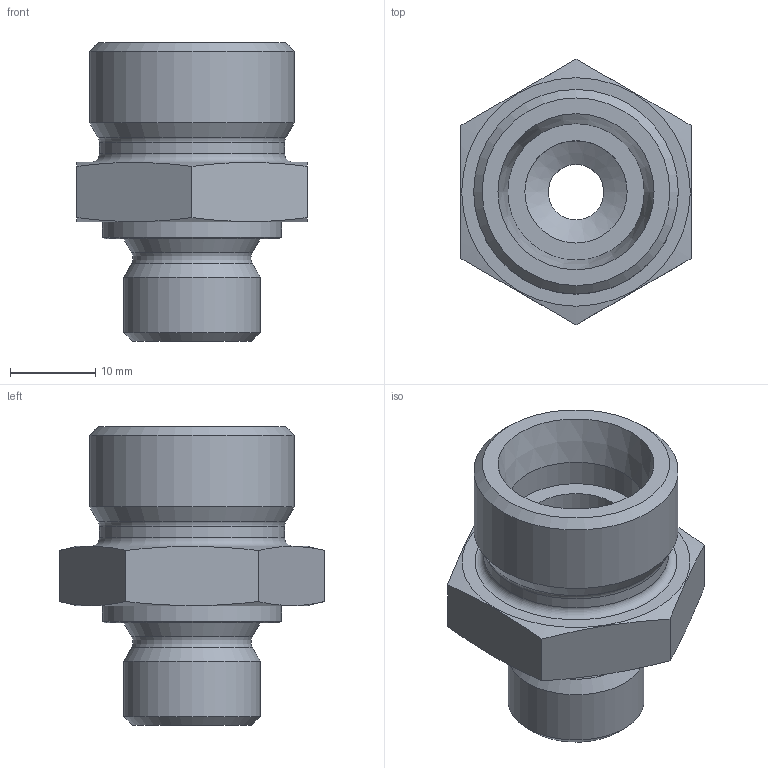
import cadquery as cq
import math

TOTAL_HEIGHT = 35.0
HEX_BOTTOM_Z = 14.0
HEX_TOP_Z = 21.0
COLLAR_BOTTOM_Z = 12.0

HEX_SIDES = 6
HEX_HALF_SIDE_ANGLE = 180.0 / HEX_SIDES
HEX_ACROSS_FLATS = 27.0
HEX_FACE_DIAMETER = 26.8
HEX_CHAMFER_ANGLE = 13.0

TUBE_THREAD_RADIUS = 24.0 / 2
TUBE_NECK_RADIUS = 21.7 / 2
TUBE_THREAD_BOTTOM_Z = 25.6
TUBE_NECK_ROUND = 1.2
HEX_FILLET = 1.0

COLLAR_RADIUS = 21.0 / 2
COLLAR_EDGE_CHAMFER = 0.2
STUD_RADIUS = 16.0 / 2
STUD_THREAD_TOP_Z = 7.5
STUD_GROOVE_ROUND = 1.3

THREAD_CHAMFER = 1.0
GROOVE_CONE_ANGLE = 30.0

MOUTH_RADIUS = 18.3 / 2
SOCKET_RADIUS = 16.0 / 2
SOCKET_CONE_ANGLE = 12.0
SOCKET_DEPTH = 8.5
BORE_RADIUS = 12.0 / 2
BORE_BOTTOM_Z = 12.0
DRILL_TIP_HALF_ANGLE = 59.0
PASSAGE_RADIUS = 6.5 / 2

FLANK_SLOPE = math.tan(math.radians(GROOVE_CONE_ANGLE))


def revolve_about_z(profile):
    """Full revolution about the Z axis of a closed profile drawn in the XZ plane."""
    return profile.revolve(360, (0, 0, 0), (0, 1, 0))


def round_rise(radius):
    """Radial depth of an arc that turns from a groove flank to the axial direction."""
    return radius * (1 - math.cos(math.radians(GROOVE_CONE_ANGLE)))


def round_length(radius):
    """Axial length of an arc that turns from a groove flank to the axial direction."""
    return radius * math.sin(math.radians(GROOVE_CONE_ANGLE))


def make_stud():
    """Lower thread, its relief groove and the collar below the hexagon."""
    groove_center_z = (COLLAR_BOTTOM_Z + STUD_THREAD_TOP_Z) / 2
    half_arc = round_length(STUD_GROOVE_ROUND)
    flank_length = (COLLAR_BOTTOM_Z - STUD_THREAD_TOP_Z) / 2 - half_arc
    flank_end_radius = STUD_RADIUS - flank_length * FLANK_SLOPE
    groove_radius = flank_end_radius - round_rise(STUD_GROOVE_ROUND)
    profile = (
        cq.Workplane("XZ")
        .moveTo(0, 0)
        .lineTo(STUD_RADIUS - THREAD_CHAMFER, 0)
        .lineTo(STUD_RADIUS, THREAD_CHAMFER)
        .lineTo(STUD_RADIUS, STUD_THREAD_TOP_Z)
        .lineTo(flank_end_radius, groove_center_z - half_arc)
        .threePointArc(
            (groove_radius, groove_center_z),
            (flank_end_radius, groove_center_z + half_arc),
        )
        .lineTo(STUD_RADIUS, COLLAR_BOTTOM_Z)
        .lineTo(COLLAR_RADIUS - COLLAR_EDGE_CHAMFER, COLLAR_BOTTOM_Z)
        .lineTo(COLLAR_RADIUS, COLLAR_BOTTOM_Z + COLLAR_EDGE_CHAMFER)
        .lineTo(COLLAR_RADIUS, HEX_BOTTOM_Z)
        .lineTo(0, HEX_BOTTOM_Z)
        .close()
    )
    return revolve_about_z(profile)


def make_hexagon():
    """Hexagon with two flats square to X and conical chamfers on both faces."""
    corner_radius = HEX_ACROSS_FLATS / 2 / math.cos(math.radians(HEX_HALF_SIDE_ANGLE))
    face_radius = HEX_FACE_DIAMETER / 2
    corner_drop = (corner_radius - face_radius) * math.tan(math.radians(HEX_CHAMFER_ANGLE))
    prism = (
        cq.Workplane("XY")
        .workplane(offset=HEX_BOTTOM_Z)
        .polygon(HEX_SIDES, 2 * corner_radius)
        .extrude(HEX_TOP_Z - HEX_BOTTOM_Z)
        .rotate((0, 0, 0), (0, 0, 1), HEX_HALF_SIDE_ANGLE)
    )
    chamfer_profile = (
        cq.Workplane("XZ")
        .moveTo(0, HEX_BOTTOM_Z)
        .lineTo(face_radius, HEX_BOTTOM_Z)
        .lineTo(corner_radius, HEX_BOTTOM_Z + corner_drop)
        .lineTo(corner_radius, HEX_TOP_Z - corner_drop)
        .lineTo(face_radius, HEX_TOP_Z)
        .lineTo(0, HEX_TOP_Z)
        .close()
    )
    return prism.intersect(revolve_about_z(chamfer_profile))


def make_tube_end():
    """Upper thread with its relief neck, blended into the hexagon by a fillet."""
    flank_end_radius = TUBE_NECK_RADIUS + round_rise(TUBE_NECK_ROUND)
    flank_length = (TUBE_THREAD_RADIUS - flank_end_radius) / FLANK_SLOPE
    flank_end_z = TUBE_THREAD_BOTTOM_Z - flank_length
    fillet_mid_offset = HEX_FILLET * (1 - math.cos(math.radians(45)))
    neck_top_z = flank_end_z - round_length(TUBE_NECK_ROUND)
    profile = (
        cq.Workplane("XZ")
        .moveTo(0, HEX_TOP_Z)
        .lineTo(TUBE_NECK_RADIUS + HEX_FILLET, HEX_TOP_Z)
        .threePointArc(
            (TUBE_NECK_RADIUS + fillet_mid_offset, HEX_TOP_Z + fillet_mid_offset),
            (TUBE_NECK_RADIUS, HEX_TOP_Z + HEX_FILLET),
        )
        .lineTo(TUBE_NECK_RADIUS, neck_top_z)
        .tangentArcPoint((flank_end_radius, flank_end_z), relative=False)
        .lineTo(TUBE_THREAD_RADIUS, TUBE_THREAD_BOTTOM_Z)
        .lineTo(TUBE_THREAD_RADIUS, TOTAL_HEIGHT - THREAD_CHAMFER)
        .lineTo(TUBE_THREAD_RADIUS - THREAD_CHAMFER, TOTAL_HEIGHT)
        .lineTo(0, TOTAL_HEIGHT)
        .close()
    )
    return revolve_about_z(profile)


def make_bore():
    """Tube socket with sealing cone, drilled bore with conical tip, and through passage."""
    cone_length = (MOUTH_RADIUS - SOCKET_RADIUS) / math.tan(math.radians(SOCKET_CONE_ANGLE))
    socket_floor_z = TOTAL_HEIGHT - SOCKET_DEPTH
    tip_length = (BORE_RADIUS - PASSAGE_RADIUS) / math.tan(math.radians(DRILL_TIP_HALF_ANGLE))
    profile = (
        cq.Workplane("XZ")
        .moveTo(0, 0)
        .lineTo(PASSAGE_RADIUS, 0)
        .lineTo(PASSAGE_RADIUS, BORE_BOTTOM_Z - tip_length)
        .lineTo(BORE_RADIUS, BORE_BOTTOM_Z)
        .lineTo(BORE_RADIUS, socket_floor_z)
        .lineTo(SOCKET_RADIUS, socket_floor_z)
        .lineTo(SOCKET_RADIUS, TOTAL_HEIGHT - cone_length)
        .lineTo(MOUTH_RADIUS, TOTAL_HEIGHT)
        .lineTo(0, TOTAL_HEIGHT)
        .close()
    )
    return revolve_about_z(profile)


body = make_stud().union(make_hexagon()).union(make_tube_end())
result = body.cut(make_bore())